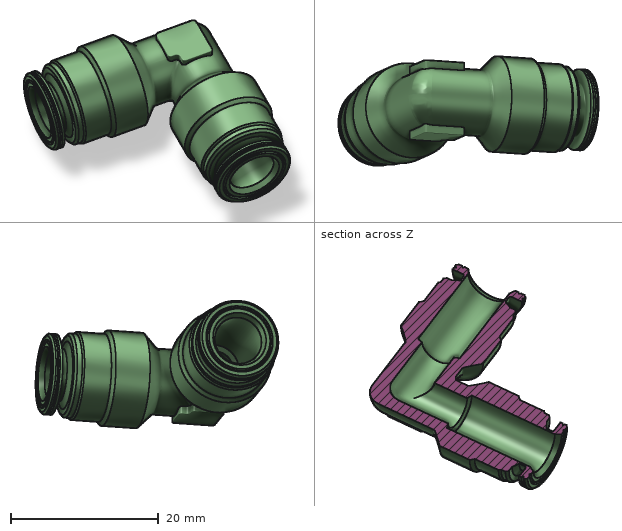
import cadquery as cq
import math

LEG_LENGTH = 21.9
PIPE_RADIUS = 4.5
OUTER_CORNER_FILLET = 2.4
INNER_CORNER_FILLET = 0.5

BODY_RADIUS = 6.5
BODY_START = 8.75
BODY_END = 13.5
SHOULDER_CHAMFER = 0.5
CONE_ANGLE = 45
CONE_ROOT_FILLET = 0.5
COLLAR_RADIUS = BODY_RADIUS - SHOULDER_CHAMFER
COLLAR_END = 17.75
RING_RADIUS = 5.75
RING_END = 19.05
RING_CHAMFER = 0.35

SLEEVE_RADIUS = 3.6
SLEEVE_CONE_RADIUS = 4.6
SLEEVE_CONE_LENGTH = 0.55
FLANGE_RADIUS = 5.5
FLANGE_START = 20.65
FLANGE_ROOT_FILLET = 0.25
FLANGE_FACE_CHAMFER = 0.3
RIM_GROOVE_CENTER = 21.18
RIM_GROOVE_DEPTH = 0.3
RIM_GROOVE_HALF_WIDTH = 0.15
FACE_GROOVE_RADIUS = 4.45
FACE_GROOVE_DEPTH = 0.2

FLOW_RADIUS = 2.5
TUBE_RADIUS = 3.25
TUBE_STOP = 8.0
TUBE_STOP_HALF_ANGLE = 70
MOUTH_RADIUS = 3.7
MOUTH_DEPTH = 0.8

PAD_HEIGHT = 5.0
PAD_HALF_WIDTH = 2.25
PAD_REACH = 3.7
PAD_CORNER_FILLET = 0.5
PAD_EDGE_FILLET = 0.1


def revolve_along_x(profile):
    """Revolve an (x, radius) half profile about the X axis."""
    return profile.close().revolve(360, (0, 0, 0), (1, 0, 0))


def on_both_legs(x_leg):
    """Join a shape on the X leg with its mirror image on the -Y leg."""
    y_leg = x_leg.mirror("XZ").rotate((0, 0, 0), (0, 0, 1), -90)
    return x_leg.union(y_leg)


def mitred_pipe():
    """Two pipes cut on the corner's diagonal plane and joined there."""
    pipe_start = cq.Workplane("YZ", origin=(-PIPE_RADIUS, 0, 0))
    leg = pipe_start.circle(PIPE_RADIUS).extrude(PIPE_RADIUS + BODY_START)
    half_side = LEG_LENGTH
    wedge = (
        cq.Workplane("XY")
        .polyline([(-half_side, half_side), (half_side, half_side), (half_side, -half_side)])
        .close()
        .extrude(BODY_RADIUS, both=True)
    )
    return on_both_legs(leg.intersect(wedge))


def pads():
    """One rounded L-shaped block through the pipe, forming both pads."""
    outline = [
        (-PAD_HALF_WIDTH, PAD_HALF_WIDTH),
        (PAD_REACH, PAD_HALF_WIDTH),
        (PAD_REACH, -PAD_HALF_WIDTH),
        (PAD_HALF_WIDTH, -PAD_HALF_WIDTH),
        (PAD_HALF_WIDTH, -PAD_REACH),
        (-PAD_HALF_WIDTH, -PAD_REACH),
    ]
    return (
        cq.Workplane("XY")
        .polyline(outline)
        .close()
        .extrude(PAD_HEIGHT, both=True)
        .edges("|Z")
        .fillet(PAD_CORNER_FILLET)
        .faces("<Z or >Z")
        .edges()
        .fillet(PAD_EDGE_FILLET)
    )


def corner():
    """Mitred pipe with its pads, rounded along the outer and inner mitre edges."""
    body = mitred_pipe().union(pads())
    outer_point = cq.selectors.NearestToPointSelector((-PIPE_RADIUS, PIPE_RADIUS, 0))
    inner_point = cq.selectors.NearestToPointSelector((PIPE_RADIUS, -PIPE_RADIUS, 0))
    body = body.edges(outer_point).fillet(OUTER_CORNER_FILLET)
    return body.edges(inner_point).fillet(INNER_CORNER_FILLET)


def socket():
    """Outer shape of one leg, from the conical shoulder to the sleeve flange."""
    cone_angle = math.radians(CONE_ANGLE)
    cone_start = BODY_START - (BODY_RADIUS - PIPE_RADIUS) / math.tan(cone_angle)
    root_start = cone_start - CONE_ROOT_FILLET * math.tan(cone_angle / 2)

    def root_point(angle):
        """Point on the concave fillet where its tangent has turned by the given angle."""
        run = CONE_ROOT_FILLET * math.sin(angle)
        rise = CONE_ROOT_FILLET * (1 - math.cos(angle))
        return root_start + run, PIPE_RADIUS + rise

    flange_fillet_mid = FLANGE_ROOT_FILLET * (1 - math.sqrt(0.5))
    return revolve_along_x(
        cq.Workplane("XZ")
        .moveTo(root_start, 0)
        .lineTo(root_start, PIPE_RADIUS)
        .threePointArc(root_point(cone_angle / 2), root_point(cone_angle))
        .lineTo(BODY_START, BODY_RADIUS)
        .lineTo(BODY_END, BODY_RADIUS)
        .lineTo(BODY_END + SHOULDER_CHAMFER, COLLAR_RADIUS)
        .lineTo(COLLAR_END, COLLAR_RADIUS)
        .lineTo(COLLAR_END + COLLAR_RADIUS - RING_RADIUS, RING_RADIUS)
        .lineTo(RING_END - RING_CHAMFER, RING_RADIUS)
        .lineTo(RING_END, RING_RADIUS - RING_CHAMFER)
        .lineTo(RING_END, SLEEVE_CONE_RADIUS)
        .lineTo(RING_END + SLEEVE_CONE_LENGTH, SLEEVE_RADIUS)
        .lineTo(FLANGE_START - FLANGE_ROOT_FILLET, SLEEVE_RADIUS)
        .threePointArc(
            (FLANGE_START - flange_fillet_mid, SLEEVE_RADIUS + flange_fillet_mid),
            (FLANGE_START, SLEEVE_RADIUS + FLANGE_ROOT_FILLET),
        )
        .lineTo(FLANGE_START, FLANGE_RADIUS)
        .lineTo(RIM_GROOVE_CENTER - RIM_GROOVE_HALF_WIDTH, FLANGE_RADIUS)
        .lineTo(RIM_GROOVE_CENTER, FLANGE_RADIUS - RIM_GROOVE_DEPTH)
        .lineTo(RIM_GROOVE_CENTER + RIM_GROOVE_HALF_WIDTH, FLANGE_RADIUS)
        .lineTo(LEG_LENGTH - FLANGE_FACE_CHAMFER, FLANGE_RADIUS)
        .lineTo(LEG_LENGTH, FLANGE_RADIUS - FLANGE_FACE_CHAMFER)
        .lineTo(LEG_LENGTH, FACE_GROOVE_RADIUS + FACE_GROOVE_DEPTH)
        .lineTo(LEG_LENGTH - FACE_GROOVE_DEPTH, FACE_GROOVE_RADIUS)
        .lineTo(LEG_LENGTH, FACE_GROOVE_RADIUS - FACE_GROOVE_DEPTH)
        .lineTo(LEG_LENGTH, 0)
    )


def bore():
    """Bore of one leg: flow passage, conical tube stop, tube socket and flared mouth."""
    stop_length = (TUBE_RADIUS - FLOW_RADIUS) / math.tan(math.radians(TUBE_STOP_HALF_ANGLE))
    return revolve_along_x(
        cq.Workplane("XZ")
        .lineTo(0, FLOW_RADIUS)
        .lineTo(TUBE_STOP - stop_length, FLOW_RADIUS)
        .lineTo(TUBE_STOP, TUBE_RADIUS)
        .lineTo(LEG_LENGTH - MOUTH_DEPTH, TUBE_RADIUS)
        .lineTo(LEG_LENGTH, MOUTH_RADIUS)
        .lineTo(LEG_LENGTH, 0)
    )


flow_corner = cq.Workplane("XY").sphere(FLOW_RADIUS)
passage = on_both_legs(bore()).union(flow_corner)
outside = corner().union(on_both_legs(socket()))
result = outside.cut(passage)